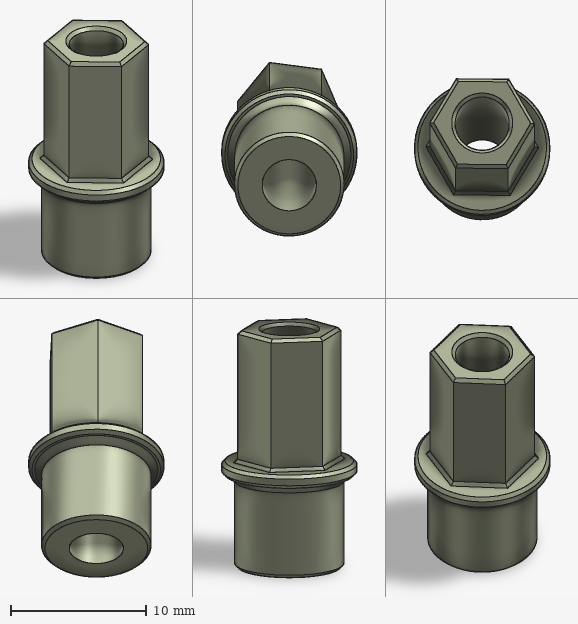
import cadquery as cq
import math

total_height = 18.0
edge_chamfer = 0.25

body_radius = 4.05
body_height = 6.5

flange_radius = 5.0
flange_thickness = 1.0
neck_flare = 0.5

hex_across_flats = 6.71
bore_diameter = 4.0

flange_bottom = body_height + neck_flare
flange_top = flange_bottom + flange_thickness


def hex_corner_diameter(across_flats):
    return across_flats / math.cos(math.pi / 6)


def make_turned_base():
    """Round body, flared neck and flange, revolved about Z."""
    profile = [
        (0, 0),
        (body_radius - edge_chamfer, 0),
        (body_radius, edge_chamfer),
        (body_radius, body_height),
        (body_radius + neck_flare, flange_bottom),
        (flange_radius - edge_chamfer, flange_bottom),
        (flange_radius, flange_bottom + edge_chamfer),
        (flange_radius, flange_top - edge_chamfer),
        (flange_radius - edge_chamfer, flange_top),
        (0, flange_top),
    ]
    return cq.Workplane("XZ").polyline(profile).close().revolve(360, (0, 0), (0, 1))


def make_hex_shank():
    """Hexagonal shank with corners on X and a chamfered top rim."""
    return (
        cq.Workplane("XY")
        .workplane(offset=flange_top)
        .polygon(6, hex_corner_diameter(hex_across_flats))
        .extrude(total_height - flange_top)
        .faces(">Z")
        .chamfer(edge_chamfer)
    )


def make_hex_foot():
    """Sloped hexagonal transition from the flange up to the shank."""
    foot_across_flats = hex_across_flats + 2 * edge_chamfer
    return (
        cq.Workplane("XY")
        .workplane(offset=flange_top)
        .polygon(6, hex_corner_diameter(foot_across_flats))
        .workplane(offset=edge_chamfer)
        .polygon(6, hex_corner_diameter(hex_across_flats))
        .loft(ruled=True)
    )


def make_bore():
    """Through bore with a countersunk mouth at the top."""
    bore_radius = bore_diameter / 2
    profile = [
        (0, 0),
        (bore_radius, 0),
        (bore_radius, total_height - edge_chamfer),
        (bore_radius + edge_chamfer, total_height),
        (0, total_height),
    ]
    return cq.Workplane("XZ").polyline(profile).close().revolve(360, (0, 0), (0, 1))


result = make_turned_base().union(make_hex_foot()).union(make_hex_shank()).cut(make_bore())